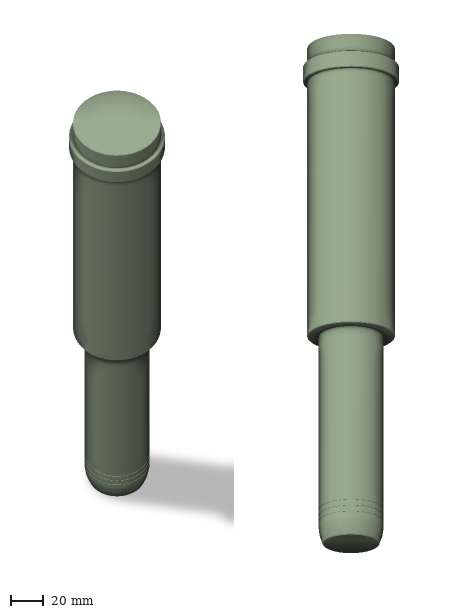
import cadquery as cq

total_height = 323.0
sleeve_length = 188.0
head_length = 12.0
collar_height = 10.3

sleeve_diameter = 54.0
collar_diameter = 59.0
pillar_diameter = 40.0
tip_diameter = 35.0

edge_chamfer = 0.5
head_chamfer = 0.4
relief_width = 0.9
relief_depth = 0.25

lead_in_height = 10.5
lead_in_bulge = 0.55

groove_count = 3
groove_pitch = 3.9
groove_width = 0.8
groove_depth = 0.25
lowest_groove_bottom = 13.6

sleeve_bottom = total_height - sleeve_length
collar_top = total_height - head_length
collar_bottom = collar_top - collar_height


def cylinder(diameter, bottom, height):
    """Upright cylinder on the part axis."""
    return cq.Workplane("XY").workplane(offset=bottom).circle(diameter / 2).extrude(height)


def make_pillar():
    """Pillar with a chamfered tip and a convex, narrowing lead-in, running up to the sleeve."""
    pillar_radius = pillar_diameter / 2
    tip_radius = tip_diameter / 2
    arc_middle_radius = (pillar_radius + tip_radius) / 2 + lead_in_bulge
    arc_middle_height = (edge_chamfer + lead_in_height) / 2
    return (
        cq.Workplane("XZ")
        .lineTo(tip_radius - edge_chamfer, 0)
        .lineTo(tip_radius, edge_chamfer)
        .threePointArc((arc_middle_radius, arc_middle_height), (pillar_radius, lead_in_height))
        .lineTo(pillar_radius, sleeve_bottom)
        .lineTo(0, sleeve_bottom)
        .close()
        .revolve(360, (0, 0, 0), (0, 1, 0))
    )


def make_collar():
    """Collar ring with both outer edges chamfered."""
    return cylinder(collar_diameter, collar_bottom, collar_height).edges().chamfer(edge_chamfer)


def make_sleeve():
    """Sleeve running through the collar to the top of the head, chamfered at both ends."""
    body = cylinder(sleeve_diameter, sleeve_bottom, sleeve_length)
    body = body.faces("<Z").edges().chamfer(edge_chamfer)
    return body.faces(">Z").edges().chamfer(head_chamfer)


def make_groove(diameter, bottom, width, depth):
    """Ring of material removed by a groove of the given depth in a cylinder."""
    outer = cylinder(diameter, bottom, width)
    return outer.cut(cylinder(diameter - 2 * depth, bottom, width))


def make_relief(diameter, bottom):
    """Narrow relief groove beside a shoulder."""
    return make_groove(diameter, bottom, relief_width, relief_depth)


result = make_pillar().union(make_sleeve()).union(make_collar())

result = result.cut(make_relief(sleeve_diameter, collar_top))
result = result.cut(make_relief(sleeve_diameter, collar_bottom - relief_width))
result = result.cut(make_relief(pillar_diameter, sleeve_bottom - relief_width))

for index in range(groove_count):
    groove_bottom = lowest_groove_bottom + index * groove_pitch
    result = result.cut(make_groove(pillar_diameter, groove_bottom, groove_width, groove_depth))